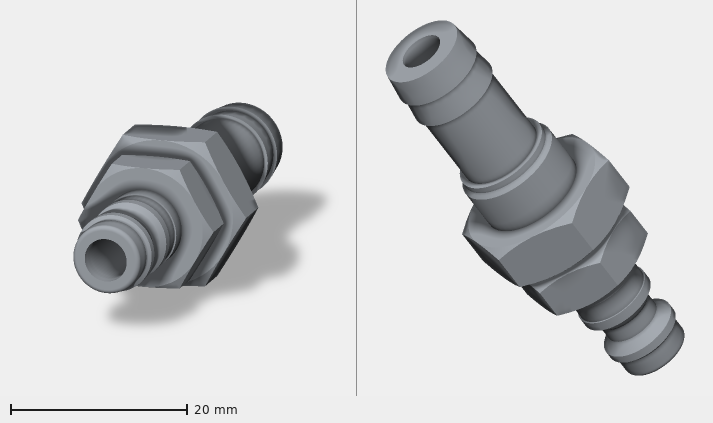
import cadquery as cq
import math

overall_length = 50.0
bore_diameter = 5.0

tip_radius = 4.0
tip_rounding = 0.5
plug_radius = 4.5
tip_end = 2.6
tip_shoulder_end = 3.0
collar_end = 4.0

neck_depth = 1.2
neck_radius = plug_radius - neck_depth
neck_start = collar_end + neck_depth
neck_end = 7.15
rear_collar_start = neck_end + neck_depth

groove_start = 9.55
groove_end = 12.0
groove_depth = 0.2
groove_radius = plug_radius - groove_depth

body_hex_width = 14.0
body_hex_start = 14.0
body_hex_length = 5.0
body_hex_end = body_hex_start + body_hex_length

shank_radius = 6.0
shank_end = 31.75
lead_in_radius = 5.5
lead_in_start = 32.3
lead_in_end = 33.1

stem_radius = 4.8
barb_radius = 5.25
barb_count = 2
barb_length = 3.4
barbs_start = overall_length - barb_count * barb_length

nut_width = 17.0
nut_start = 20.5
nut_length = 6.0

hex_chamfer_angle = 30.0


def chamfered_hexagon(width, start, length):
    """Hexagonal prism along Y, flats facing +Z and -Z, with cone-chamfered corners at both ends."""
    corner_radius = width / 2 / math.cos(math.pi / 6)
    face_radius = width / 2
    chamfer_drop = (corner_radius - face_radius) * math.tan(math.radians(hex_chamfer_angle))
    end = start + length
    prism = (
        cq.Workplane("XZ", origin=(0, start, 0))
        .polygon(6, 2 * corner_radius)
        .extrude(-length)
    )
    chamfer_envelope = (
        cq.Workplane("XY")
        .moveTo(0, start)
        .lineTo(face_radius, start)
        .lineTo(corner_radius, start + chamfer_drop)
        .lineTo(corner_radius, end - chamfer_drop)
        .lineTo(face_radius, end)
        .lineTo(0, end)
        .close()
        .revolve(360, (0, 0, 0), (0, 1, 0))
    )
    return prism.intersect(chamfer_envelope)


def through_hole(diameter, start, length):
    """Cylinder along Y used to cut a hole."""
    return (
        cq.Workplane("XZ", origin=(0, start, 0))
        .circle(diameter / 2)
        .extrude(-length)
    )


def turned_profile():
    """Half outline of the turned plug body, radius along X and length along Y."""
    outline = (
        cq.Workplane("XY")
        .lineTo(tip_radius - tip_rounding, 0)
        .radiusArc((tip_radius, tip_rounding), -tip_rounding)
        .lineTo(tip_radius, tip_end)
        .lineTo(plug_radius, tip_shoulder_end)
        .lineTo(plug_radius, collar_end)
        .lineTo(neck_radius, neck_start)
        .lineTo(neck_radius, neck_end)
        .lineTo(plug_radius, rear_collar_start)
        .lineTo(plug_radius, groove_start)
        .lineTo(groove_radius, groove_start)
        .lineTo(groove_radius, groove_end)
        .lineTo(plug_radius, groove_end)
        .lineTo(plug_radius, body_hex_end)
        .lineTo(shank_radius, body_hex_end)
        .lineTo(shank_radius, shank_end)
        .lineTo(lead_in_radius, lead_in_start)
        .lineTo(lead_in_radius, lead_in_end)
        .lineTo(stem_radius, lead_in_end)
        .lineTo(stem_radius, barbs_start)
    )
    for barb in range(barb_count):
        barb_base = barbs_start + barb * barb_length
        outline = (
            outline
            .lineTo(barb_radius, barb_base)
            .lineTo(stem_radius, barb_base + barb_length)
        )
    return outline.lineTo(0, overall_length).close()


def make_plug_body():
    """Turned plug with hose stem and fixed hexagon, bored through."""
    turned = turned_profile().revolve(360, (0, 0, 0), (0, 1, 0))
    hexagon = chamfered_hexagon(body_hex_width, body_hex_start, body_hex_length)
    return turned.union(hexagon).cut(through_hole(bore_diameter, 0, overall_length))


def make_locknut():
    """Hexagonal locknut seated on the shank."""
    hexagon = chamfered_hexagon(nut_width, nut_start, nut_length)
    return hexagon.cut(through_hole(2 * shank_radius, nut_start, nut_length))


plug_body = make_plug_body()
locknut = make_locknut()

result = cq.Compound.makeCompound([plug_body.val(), locknut.val()])